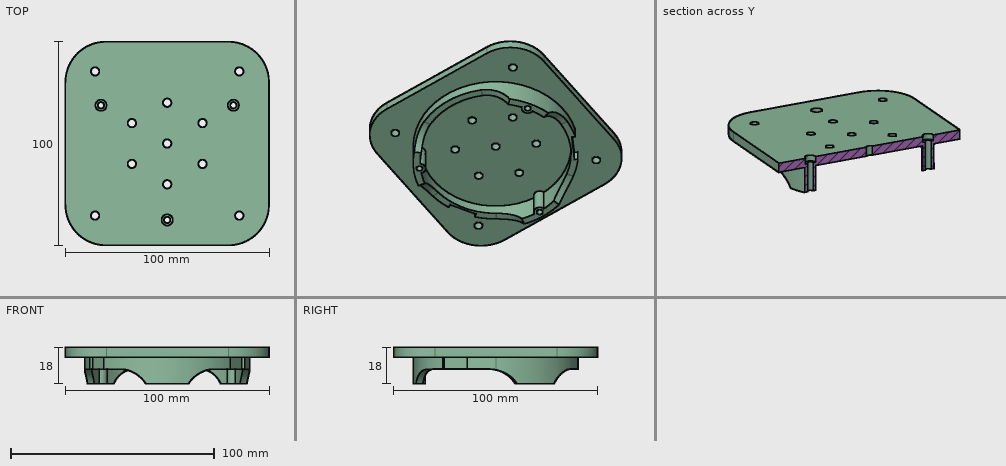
import cadquery as cq
import math

plate_side = 100.0
plate_thickness = 5.0
plate_corner_radius = 20.0

total_height = 18.0
ring_height = 5.8
ring_outer_radius = 40.5
ring_inner_radius = 37.0
leg_foot_half_angle = 15
leg_flare_radius = 15.0
flare_steps = 6
leg_angles = (30, 150, 270)

notch_angles = (210, 330)
notch_width = 14.0
notch_floor_distance = 38.1

plain_hole_diameter = 4.0
hole_circle_radius = 20.0
corner_hole_circle_radius = 50.0
screw_circle_radius = 37.5
screw_hole_diameter = 3.0
screw_head_diameter = 5.5
screw_head_depth = 3.0
screw_boss_radius = 3.0

ring_bottom = -(plate_thickness + ring_height)
leg_height = total_height - plate_thickness - ring_height
leg_bottom = -total_height
overlap = 1.0


def polar_point(radius, angle):
    radians = math.radians(angle)
    return (radius * math.cos(radians), radius * math.sin(radians))


def cylinder(radius, bottom, top, center=(0, 0)):
    return cq.Workplane("XY", origin=(*center, bottom)).circle(radius).extrude(top - bottom)


def make_plate():
    plate = cq.Workplane("XY").rect(plate_side, plate_side).extrude(-plate_thickness)
    return plate.edges("|Z").fillet(plate_corner_radius)


def flare_angles_and_heights():
    """Angle from the leg's middle and height along one flare, from foot to ring.

    Seen square on, the flare is a circular arc that meets the ring's underside tangentially.
    """
    foot = ring_outer_radius * math.sin(math.radians(leg_foot_half_angle))
    sweep = math.acos(1 - leg_height / leg_flare_radius)
    shoulder = foot + leg_flare_radius * math.sin(sweep)
    samples = []
    for i in range(flare_steps + 1):
        turn = sweep * (1 - i / flare_steps)
        offset = shoulder - leg_flare_radius * math.sin(turn)
        height = ring_bottom - leg_flare_radius * (1 - math.cos(turn))
        samples.append((math.asin(offset / ring_outer_radius), height))
    return samples


def leg_section(distance):
    """Leg outline in the plane X = distance, its width growing with the distance."""
    right = [(distance * math.tan(angle), height) for angle, height in flare_angles_and_heights()]
    left = [(-y, z) for y, z in reversed(right)]
    outline = (
        cq.Workplane("YZ", origin=(distance, 0, 0))
        .moveTo(*left[-1])
        .lineTo(*right[0])
        .spline(right[1:], includeCurrent=True)
        .lineTo(right[-1][0], ring_bottom + overlap)
        .lineTo(left[0][0], ring_bottom + overlap)
        .lineTo(*left[0])
        .spline(left[1:], includeCurrent=True)
        .close()
    )
    return outline.val()


def make_leg_wedge():
    """Wedge along +X with radial sides that holds the whole leg."""
    near = leg_section(ring_inner_radius / 2)
    far = leg_section(ring_outer_radius + overlap)
    return cq.Workplane(cq.Solid.makeLoft([near, far], True))


def make_skirt():
    """Ring, legs and screw bosses in one wall, cut away between the legs."""
    hollow = cylinder(ring_inner_radius, leg_bottom, -plate_thickness)
    for angle in leg_angles:
        center = polar_point(screw_circle_radius, angle)
        hollow = hollow.cut(cylinder(screw_boss_radius, leg_bottom, -plate_thickness, center))
    skirt = cylinder(ring_outer_radius, leg_bottom, -plate_thickness).cut(hollow)

    gaps = cylinder(ring_outer_radius + overlap, leg_bottom, ring_bottom)
    wedge = make_leg_wedge()
    for angle in leg_angles:
        gaps = gaps.cut(wedge.rotate((0, 0, 0), (0, 0, 1), angle), clean=False)
    skirt = skirt.cut(gaps, clean=False)

    notch_depth = ring_outer_radius + overlap - notch_floor_distance
    notch = (
        cq.Workplane("XY", origin=(notch_floor_distance + notch_depth / 2, 0, ring_bottom))
        .rect(notch_depth, notch_width)
        .extrude(ring_height)
    )
    for angle in notch_angles:
        skirt = skirt.cut(notch.rotate((0, 0, 0), (0, 0, 1), angle), clean=False)
    return skirt


def drill_holes(part):
    plain_points = [(0, 0)]
    plain_points += [polar_point(hole_circle_radius, 30 + 60 * i) for i in range(6)]
    plain_points += [polar_point(corner_hole_circle_radius, 45 + 90 * i) for i in range(4)]
    for point in plain_points:
        part = part.cut(cylinder(plain_hole_diameter / 2, leg_bottom, 0, point), clean=False)

    for angle in leg_angles:
        point = polar_point(screw_circle_radius, angle)
        part = part.cut(cylinder(screw_hole_diameter / 2, leg_bottom, 0, point), clean=False)
        part = part.cut(cylinder(screw_head_diameter / 2, -screw_head_depth, 0, point), clean=False)
    return part


result = drill_holes(make_plate().union(make_skirt(), clean=False))